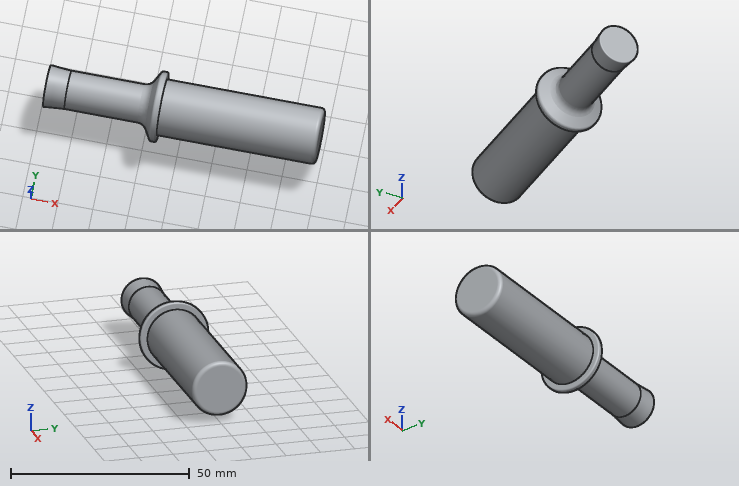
import cadquery as cq
import math

total_length = 78.0

tip_front_radius = 6.0
tip_length = 6.1
tip_edge_round = 0.3

neck_radius = 11.0 / 2
flange_radius = 20.0 / 2
shank_radius = 16.0 / 2
flange_back_x = 32.9
flange_rim_width = 1.7
cone_half_angle = 60.0
neck_fillet = 3.0
flange_front_round = 0.8
flange_back_round = 0.5
shank_end_round = 1.2

flange_front_x = flange_back_x - flange_rim_width
cone_length = (flange_radius - neck_radius) / math.tan(math.radians(cone_half_angle))
cone_start_x = flange_front_x - cone_length


def revolve_about_x(profile):
    """Turn a closed half profile, drawn in XY, about the X axis."""
    return profile.close().revolve(360, (0, 0, 0), (1, 0, 0))


def round_circle(body, x, radius, round_radius):
    """Fillet the circular edge of the given radius at position x."""
    margin = 0.04
    selector = cq.selectors.BoxSelector(
        (x - margin, -radius - margin, -radius - margin),
        (x + margin, radius + margin, radius + margin),
        boundingbox=True,
    )
    circles = body.edges("%CIRCLE").edges(selector)
    outer_circle = circles.filter(lambda edge: abs(edge.radius() - radius) < margin)
    return outer_circle.fillet(round_radius)


def make_tip():
    """Back-tapered tip with a rounded front edge."""
    profile = (
        cq.Workplane("XY")
        .lineTo(0, tip_front_radius)
        .lineTo(tip_length, neck_radius)
        .lineTo(tip_length, 0)
    )
    return round_circle(revolve_about_x(profile), 0, tip_front_radius, tip_edge_round)


def make_holder():
    """Neck flaring into a flange, followed by a cylindrical shank."""
    profile = (
        cq.Workplane("XY")
        .moveTo(tip_length, 0)
        .lineTo(tip_length, neck_radius)
        .lineTo(cone_start_x, neck_radius)
        .lineTo(flange_front_x, flange_radius)
        .lineTo(flange_back_x, flange_radius)
        .lineTo(flange_back_x, shank_radius)
        .lineTo(total_length, shank_radius)
        .lineTo(total_length, 0)
    )
    body = revolve_about_x(profile)
    body = round_circle(body, cone_start_x, neck_radius, neck_fillet)
    body = round_circle(body, flange_front_x, flange_radius, flange_front_round)
    body = round_circle(body, flange_back_x, flange_radius, flange_back_round)
    return round_circle(body, total_length, shank_radius, shank_end_round)


tip = make_tip()
holder = make_holder()

result = cq.Compound.makeCompound([tip.val(), holder.val()])